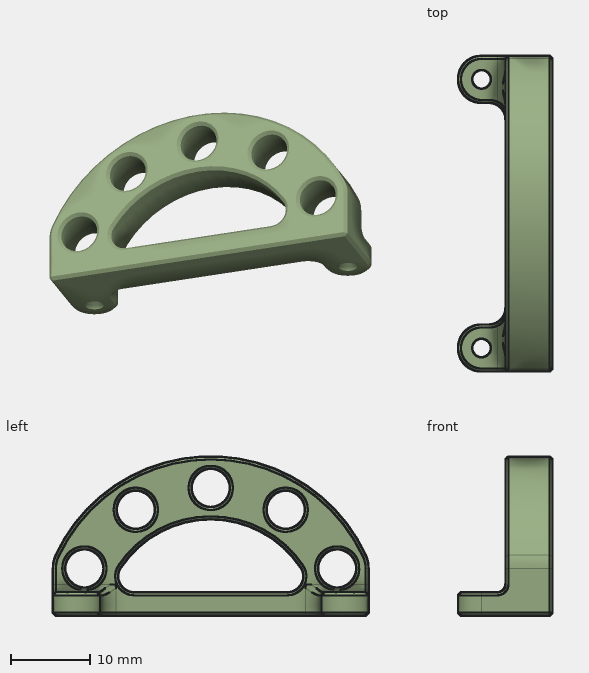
import cadquery as cq
import math

length = 40.0
depth = 12.0
height = 20.2

wall_thickness = 6.0
band_width = 8.0
floor_height = 3.0
opening_corner_radius = 2.0
shoulder_radius = 4.0
shoulder_height = 6.0

hole_diameter = 4.8
hole_count = 5

tab_width = 6.0
tab_height = 3.0
tab_side_fillet = 2.0
tab_top_fillet = 1.0
screw_hole_diameter = 2.3
root_depth = 2.0
tip_trim = 0.1

edge_chamfer = 0.4
tolerance = 0.005

half_length = length / 2
wall_face = depth - wall_thickness
tab_radius = tab_width / 2
tab_center_y = half_length - tab_radius
tab_inner_y = half_length - tab_width
fillet_end_x = wall_face - tab_side_fillet
fillet_end_y = tab_inner_y - tab_side_fillet
root_x = wall_face + root_depth
root_top = tab_height + tab_top_fillet

shoulder_y = half_length - shoulder_radius
row_rise = height - band_width / 2 - shoulder_height
row_radius = (shoulder_y**2 + row_rise**2) / (2 * row_rise)
row_half_angle = math.asin(shoulder_y / row_radius)
arch_center_z = shoulder_height + row_rise - row_radius
outer_radius = row_radius + band_width / 2
inner_radius = row_radius - band_width / 2


def polar(center_y, center_z, radius, angle):
    """(y, z) point on a circle, with the angle measured from straight up toward +Y."""
    return (center_y + radius * math.sin(angle), center_z + radius * math.cos(angle))


def arch_point(radius, angle):
    return polar(0, arch_center_z, radius, angle)


def mirrored(point):
    return (-point[0], point[1])


def arch_block():
    """Wall without openings: straight ends, rounded shoulders and one large arc on top."""
    shoulder_top = arch_point(outer_radius, row_half_angle)
    mid_angle = (math.pi / 2 + row_half_angle) / 2
    shoulder_mid = polar(shoulder_y, shoulder_height, shoulder_radius, mid_angle)
    return (
        cq.Workplane("YZ", origin=(wall_face, 0, 0))
        .moveTo(-half_length, 0)
        .lineTo(half_length, 0)
        .lineTo(half_length, shoulder_height)
        .threePointArc(shoulder_mid, shoulder_top)
        .threePointArc((0, height), mirrored(shoulder_top))
        .threePointArc(mirrored(shoulder_mid), (-half_length, shoulder_height))
        .close()
        .extrude(wall_thickness)
    )


def opening():
    """Hand opening: flat floor and a concentric arc, joined by rounded corners."""
    corner_z = floor_height + opening_corner_radius
    corner_rise = corner_z - arch_center_z
    corner_y = math.sqrt((inner_radius - opening_corner_radius) ** 2 - corner_rise**2)
    corner_angle = math.atan2(corner_y, corner_rise)
    corner_top = arch_point(inner_radius, corner_angle)
    corner_mid = polar(corner_y, corner_z, opening_corner_radius, (corner_angle + math.pi) / 2)
    return (
        cq.Workplane("YZ")
        .moveTo(-corner_y, floor_height)
        .lineTo(corner_y, floor_height)
        .threePointArc(corner_mid, corner_top)
        .threePointArc(arch_point(inner_radius, 0), mirrored(corner_top))
        .threePointArc(mirrored(corner_mid), (-corner_y, floor_height))
        .close()
        .extrude(depth)
    )


def wall():
    block = arch_block().cut(opening())
    return block.faces("<X or >X or <Z").edges().chamfer(edge_chamfer)


def tab_profile():
    """Tab section in X and Z: flat top that curves up to the wall face."""
    return (
        cq.Workplane("XZ")
        .lineTo(root_x, 0)
        .lineTo(root_x, root_top)
        .lineTo(wall_face, root_top)
        .radiusArc((wall_face - tab_top_fillet, tab_height), tab_top_fillet)
        .lineTo(0, tab_height)
        .close()
        .extrude(-half_length)
    )


def tab_outline():
    """Tab plan: round nose, and a concave side that flows into the wall face."""
    return (
        cq.Workplane("XY")
        .moveTo(root_x, half_length)
        .lineTo(tab_radius, half_length)
        .threePointArc((0, tab_center_y), (tab_radius, tab_inner_y))
        .lineTo(fillet_end_x, tab_inner_y)
        .radiusArc((wall_face, fillet_end_y), tab_side_fillet)
        .lineTo(root_x, fillet_end_y)
        .close()
        .extrude(root_top)
    )


def beyond_tip():
    """Space past the tip of the rim, bounded by a plane square to the rim's direction there."""
    direction = cq.Vector(0, -1, math.sqrt(tab_top_fillet / tab_side_fillet)).normalized()
    tip = cq.Vector(wall_face, fillet_end_y, root_top)
    plane = cq.Plane(origin=tip - direction * tip_trim, xDir=(1, 0, 0), normal=direction)
    return cq.Workplane(plane).rect(length, length).extrude(length)


def is_tab_base(edge):
    """True for the bottom outline edges that stay exposed once the tab is sunk into the wall."""
    box = edge.BoundingBox()
    return box.zmax < tolerance and box.xmin < wall_face - tolerance


def tab():
    block = tab_profile().intersect(tab_outline()).cut(beyond_tip())
    outer_edge = cq.selectors.NearestToPointSelector((fillet_end_x, half_length, tab_height))
    block = block.edges(outer_edge).chamfer(edge_chamfer)
    base_edges = [edge for edge in block.edges().vals() if is_tab_base(edge)]
    block = block.newObject(base_edges).chamfer(edge_chamfer)
    screw_hole = cq.Workplane("XY").circle(screw_hole_diameter / 2).extrude(tab_height)
    return block.cut(screw_hole.translate((tab_radius, tab_center_y, 0)))


def row_points():
    step = 2 * row_half_angle / (hole_count - 1)
    return [arch_point(row_radius, i * step - row_half_angle) for i in range(hole_count)]


def row_holes():
    return cq.Workplane("YZ").pushPoints(row_points()).circle(hole_diameter / 2).extrude(depth)


def is_hole_mouth(edge):
    """True for the edges around the holes on the two faces of the wall."""
    middle = edge.positionAt(0.5)
    at_hole = any(
        abs(math.hypot(middle.y - y, middle.z - z) - hole_diameter / 2) < tolerance for y, z in row_points()
    )
    inside = wall_face + tolerance < middle.x < depth - tolerance
    return at_hole and not inside


right_tab = tab()
body = wall().union(right_tab).union(right_tab.mirror("XZ")).cut(row_holes())
mouths = [edge for edge in body.edges().vals() if is_hole_mouth(edge)]
result = body.newObject(mouths).chamfer(edge_chamfer)